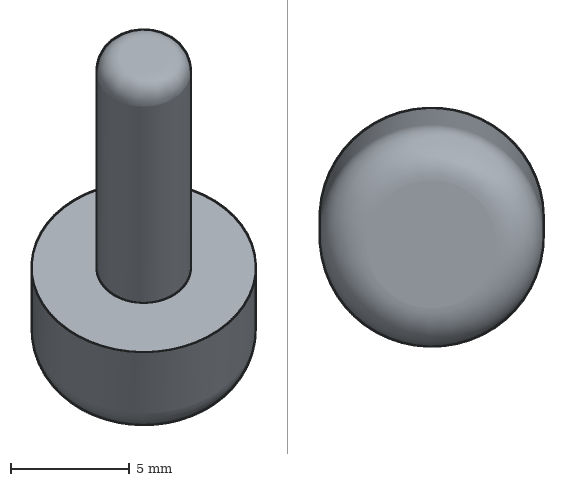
import cadquery as cq

total_length = 19.75
head_diameter = 9.5
head_height = 6.0
head_round = 2.0
pin_diameter = 4.0
pin_tip_round = 1.0

pin_length = total_length - head_height

head = cq.Workplane("XY").circle(head_diameter / 2).extrude(head_height)
head = head.faces("<Z").edges().fillet(head_round)

pin = cq.Workplane("XY", origin=(0, 0, head_height)).circle(pin_diameter / 2).extrude(pin_length)
pin = pin.faces(">Z").edges().fillet(pin_tip_round)

result = head.union(pin)